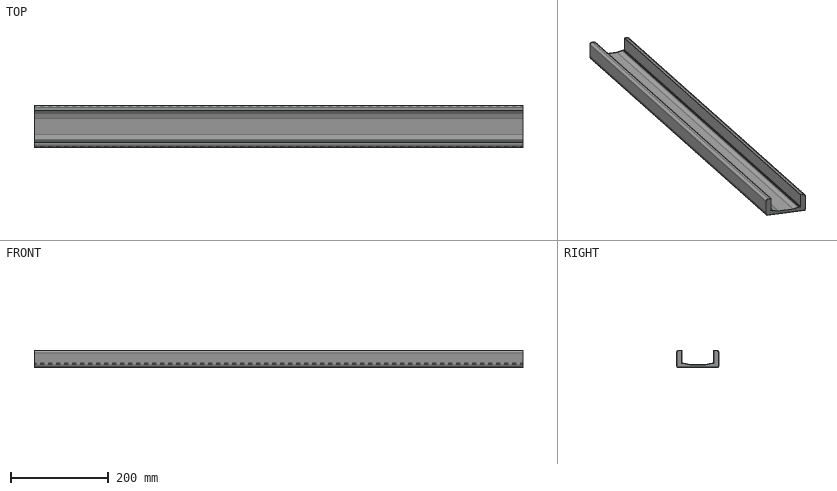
import cadquery as cq
import math

length = 1000.0
width = 86.5
height = 35.0

wall = 10.7
top_round = 5.0
bottom_curve_radius = 8.0
bottom_curve_height = 5.0

floor_thickness = 6.0
ramp_drop = 2.35
ramp_width = 10.7
ledge_width = 2.8
step_width = 2.8
step_height = 0.5

half_width = width / 2
wall_inner = half_width - wall
step_inner = wall_inner - step_width
ramp_top = step_inner - ledge_width
ramp_foot = ramp_top - ramp_width
ledge_level = floor_thickness + ramp_drop
step_level = ledge_level + step_height


def bottom_curve_point(drop):
    """Point on the curved lower side, at the given depth below where the curve starts."""
    inset = bottom_curve_radius - math.sqrt(bottom_curve_radius**2 - drop**2)
    return (half_width - inset, bottom_curve_height - drop)


def make_half_channel():
    """Extrude the +Y half of the section along X, centred on the origin in X."""
    corner_to_arc = top_round * (1 - math.sqrt(0.5))
    top_round_middle = (half_width - corner_to_arc, height - corner_to_arc)
    bottom_corner = bottom_curve_point(bottom_curve_height)
    bottom_curve_middle = bottom_curve_point(bottom_curve_height / 2)
    section = (
        cq.Workplane("YZ", origin=(-length / 2, 0, 0))
        .lineTo(*bottom_corner)
        .threePointArc(bottom_curve_middle, (half_width, bottom_curve_height))
        .lineTo(half_width, height - top_round)
        .threePointArc(top_round_middle, (half_width - top_round, height))
        .lineTo(wall_inner, height)
        .lineTo(wall_inner, step_level)
        .lineTo(step_inner, step_level)
        .lineTo(step_inner, ledge_level)
        .lineTo(ramp_top, ledge_level)
        .lineTo(ramp_foot, floor_thickness)
        .lineTo(0, floor_thickness)
        .close()
    )
    return section.extrude(length)


result = make_half_channel().mirror("XZ", union=True).clean()